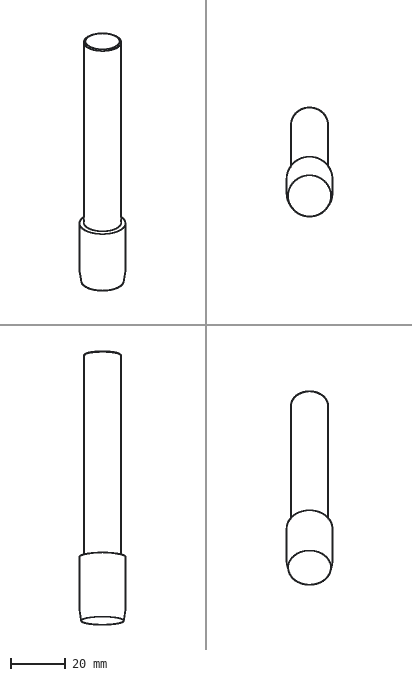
import cadquery as cq

total_length = 100.0
base_diameter = 17.0
base_length = 24.3
base_radius = base_diameter / 2

shoulder_height = 0.3
shoulder_top_radius = 7.1

lead_in_height = 4.0
lead_in_end_radius = 7.9

shaft_diameter = 13.8
shaft_length = total_length - base_length
tip_chamfer_width = 0.6
tip_chamfer_height = 0.4


def make_base():
    """Press-fit base: tapered lead-in, cylinder and conical shoulder."""
    return (
        cq.Workplane("XZ")
        .lineTo(lead_in_end_radius, 0)
        .lineTo(base_radius, lead_in_height)
        .lineTo(base_radius, base_length - shoulder_height)
        .lineTo(shoulder_top_radius, base_length)
        .lineTo(0, base_length)
        .close()
        .revolve(360, (0, 0), (0, 1))
    )


def make_shaft():
    """Round shaft on the base, with a shallow chamfer at its tip."""
    shaft = (
        cq.Workplane("XY")
        .workplane(offset=base_length)
        .circle(shaft_diameter / 2)
        .extrude(shaft_length)
    )
    return shaft.faces(">Z").chamfer(tip_chamfer_height, tip_chamfer_width)


base = make_base()
shaft = make_shaft()

result = cq.Compound.makeCompound([base.val(), shaft.val()])